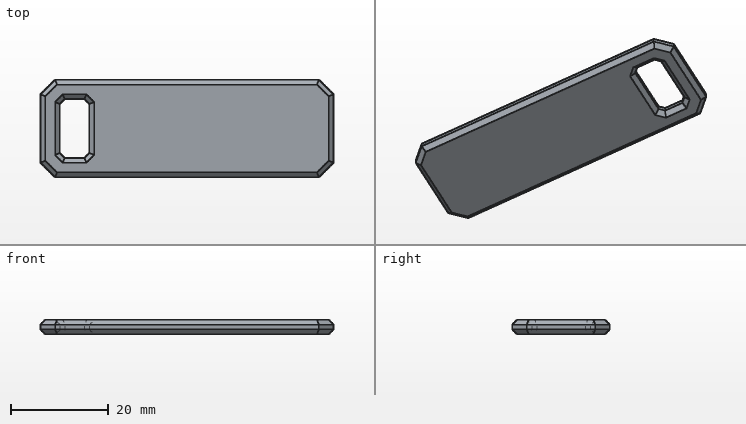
import cadquery as cq

length = 60.0
width = length / 3
thickness = 3.0
corner_cut = 3.0
bevel = thickness / 3

slot_length_x = 6.0
slot_length_y = 12.0
slot_corner_cut = bevel
rim_to_slot = 3.0
slot_center_x = -length / 2 + rim_to_slot + bevel + slot_length_x / 2


def cut_corner_block(size_x, size_y, leg):
    """Return a full-thickness block, standing on Z = 0, with its upright corners cut at 45 degrees."""
    block = cq.Workplane("XY").box(size_x, size_y, thickness, centered=(True, True, False))
    return block.edges("|Z").chamfer(leg)


plate = cut_corner_block(length, width, corner_cut)
slot = cut_corner_block(slot_length_x, slot_length_y, slot_corner_cut)
plate = plate.cut(slot.translate((slot_center_x, 0, 0)))

result = plate.faces("<Z or >Z").edges().chamfer(bevel)